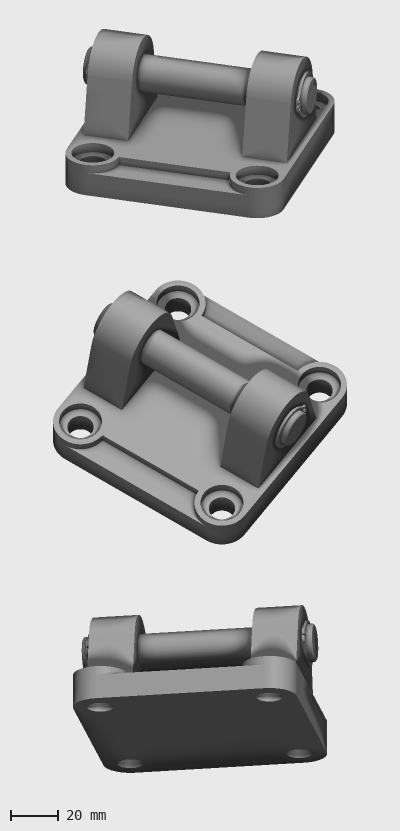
import cadquery as cq
import math

plate_side = 95.0
plate_height = 14.25
bolt_spacing = 72.0
bolt_hole_diameter = 11.0
counterbore_diameter = 18.0
counterbore_depth = 4.25
corner_radius = (plate_side - bolt_spacing) / 2

ledge_width = 11.0
ledge_height = 10.5

pin_axis_height = 36.0
lug_radius = 16.0
lug_gap = 50.0
lug_thickness = 19.5
lug_flank_angle = math.radians(13.0)

pin_diameter = 16.0
pin_length = 98.0
pin_chamfer = 0.5

clip_thickness = 1.0
clip_inner_face = 45.5
clip_ring_radius = 9.75
clip_ring_offset = 0.65
ear_eye_diameter = 1.7
ear_radius = 1.75
ear_eye_y = -9.45
ear_eye_height = 1.72
ear_gap = 0.7
ear_root_y = -7.4


def make_plate():
    """Rounded square plate, stepped down along its Y edges between the round corner bosses."""
    half_side = plate_side / 2
    bolt_offset = bolt_spacing / 2
    step_y = half_side - ledge_width
    step_x = bolt_offset - math.sqrt(corner_radius**2 - (step_y - bolt_offset) ** 2)

    plate = (
        cq.Workplane("XY")
        .rect(plate_side, plate_side)
        .extrude(plate_height)
        .edges("|Z")
        .fillet(corner_radius)
    )
    ledge_cut = (
        cq.Workplane("XY", origin=(0, 0, ledge_height))
        .moveTo(-step_x, step_y)
        .lineTo(step_x, step_y)
        .radiusArc((bolt_offset, half_side), corner_radius)
        .lineTo(-bolt_offset, half_side)
        .radiusArc((-step_x, step_y), corner_radius)
        .close()
        .extrude(plate_height - ledge_height)
    )
    return (
        plate.cut(ledge_cut)
        .cut(ledge_cut.mirror("XZ"))
        .faces(">Z")
        .workplane(origin=(0, 0, plate_height))
        .rect(bolt_spacing, bolt_spacing, forConstruction=True)
        .vertices()
        .cboreHole(bolt_hole_diameter, counterbore_diameter, counterbore_depth)
    )


def make_lug():
    """Lug on the +X side: flanks tangent to a round top centred on the pin axis."""
    tangent_y = lug_radius * math.cos(lug_flank_angle)
    tangent_z = pin_axis_height + lug_radius * math.sin(lug_flank_angle)
    foot_y = tangent_y + (tangent_z - plate_height) * math.tan(lug_flank_angle)
    return (
        cq.Workplane("YZ", origin=(lug_gap / 2, 0, 0))
        .moveTo(-foot_y, plate_height)
        .lineTo(-tangent_y, tangent_z)
        .threePointArc((0, pin_axis_height + lug_radius), (tangent_y, tangent_z))
        .lineTo(foot_y, plate_height)
        .close()
        .extrude(lug_thickness)
    )


def make_pin():
    return (
        cq.Workplane("YZ", origin=(-pin_length / 2, 0, pin_axis_height))
        .circle(pin_diameter / 2)
        .extrude(pin_length)
        .faces("<X or >X")
        .chamfer(pin_chamfer)
    )


def make_clip():
    """Clip on the +X side: an eccentric ring, split between two ears with an eye in each."""
    clip_plane = cq.Workplane("YZ", origin=(clip_inner_face, 0, pin_axis_height))
    eyes = [(ear_eye_y, side * ear_eye_height) for side in (-1, 1)]
    ear_tip_y = ear_eye_y - ear_radius
    ear_top = ear_eye_height + ear_radius
    ear_root_top = math.sqrt(clip_ring_radius**2 - (ear_root_y - clip_ring_offset) ** 2)

    ring = clip_plane.center(clip_ring_offset, 0).circle(clip_ring_radius).extrude(clip_thickness)
    ears = (
        clip_plane.moveTo(ear_root_y, ear_root_top)
        .lineTo(ear_eye_y, ear_top)
        .radiusArc((ear_tip_y, ear_eye_height), -ear_radius)
        .lineTo(ear_tip_y, -ear_eye_height)
        .radiusArc((ear_eye_y, -ear_top), -ear_radius)
        .lineTo(ear_root_y, -ear_root_top)
        .close()
        .extrude(clip_thickness)
    )
    eye_holes = clip_plane.pushPoints(eyes).circle(ear_eye_diameter / 2).extrude(clip_thickness)
    split = (
        clip_plane.center(ear_tip_y / 2, 0)
        .rect(abs(ear_tip_y), ear_gap)
        .extrude(clip_thickness)
    )
    return ring.union(ears).cut(eye_holes).cut(split)


result = make_plate()
for fitting in (make_lug(), make_clip()):
    result = result.union(fitting).union(fitting.mirror("YZ"))
result = result.union(make_pin())